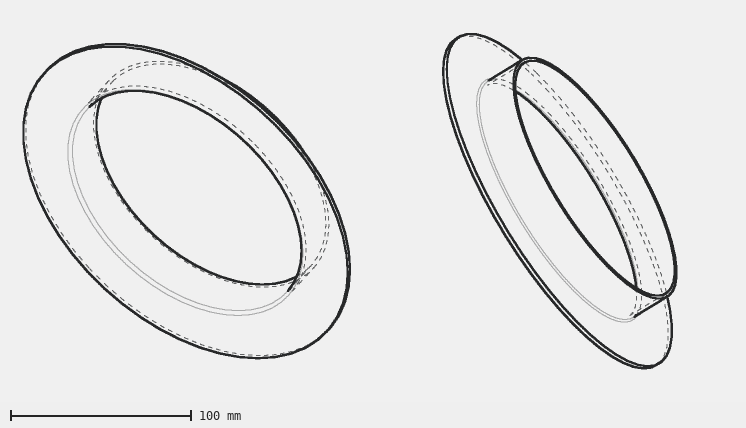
import cadquery as cq

flange_diameter = 212.0
collar_diameter = 153.7
total_depth = 27.0
flange_thickness = 2.5
collar_thickness = 2.0
inner_bend_radius = 2.0
outer_bend_radius = 1.0

flange_radius = flange_diameter / 2
collar_radius = collar_diameter / 2
bore_radius = collar_radius - collar_thickness

section = (
    cq.Workplane("XY")
    .moveTo(bore_radius, 0)
    .lineTo(flange_radius, 0)
    .lineTo(flange_radius, flange_thickness)
    .lineTo(collar_radius, flange_thickness)
    .lineTo(collar_radius, total_depth)
    .lineTo(bore_radius, total_depth)
    .close()
)
ring = section.revolve(360, (0, 0, 0), (0, 1, 0))


def round_circle(body, radius, y, bend_radius):
    """Round the circular edge of the given radius lying at height y."""
    tolerance = 0.02
    selector = cq.selectors.BoxSelector(
        (-tolerance, y - tolerance, -tolerance),
        (tolerance, y + tolerance, tolerance),
    )
    circles = body.edges("%CIRCLE").edges(selector)
    edges = [edge for edge in circles.vals() if abs(edge.radius() - radius) < tolerance]
    return body.newObject(edges).fillet(bend_radius)


ring = round_circle(ring, bore_radius, 0, inner_bend_radius)
result = round_circle(ring, collar_radius, flange_thickness, outer_bend_radius)